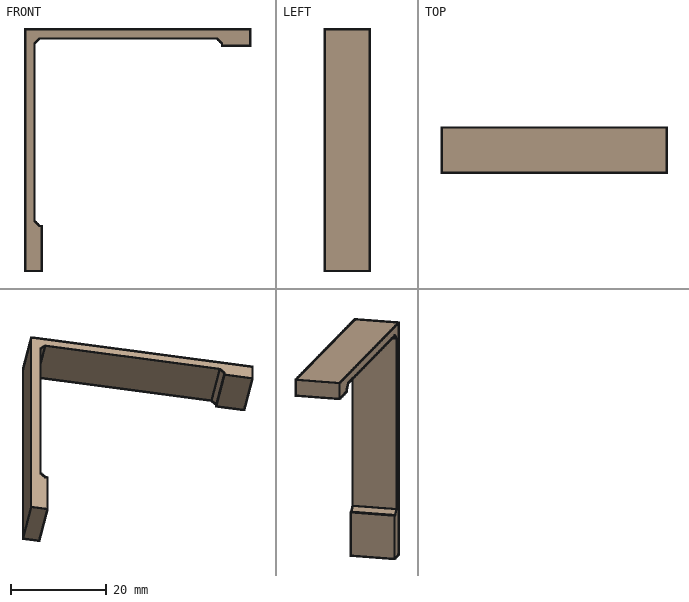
import cadquery as cq

length = 47.3
width = 9.55
height = 50.8

arm_thickness = 2.0
pad_thickness = 3.5
top_pad_length = 6.0
bottom_pad_length = 9.5
corner_chamfer = 1.0

pad_face_x = length - top_pad_length
pad_face_z = bottom_pad_length - height

profile = [
    (0, 0),
    (length, 0),
    (length, -pad_thickness),
    (pad_face_x, -pad_thickness),
    (pad_face_x, -arm_thickness - corner_chamfer),
    (pad_face_x - corner_chamfer, -arm_thickness),
    (arm_thickness + corner_chamfer, -arm_thickness),
    (arm_thickness, -arm_thickness - corner_chamfer),
    (arm_thickness, pad_face_z + corner_chamfer),
    (arm_thickness + corner_chamfer, pad_face_z),
    (pad_thickness, pad_face_z),
    (pad_thickness, -height),
    (0, -height),
]

result = cq.Workplane("XZ").polyline(profile).close().extrude(width / 2, both=True)